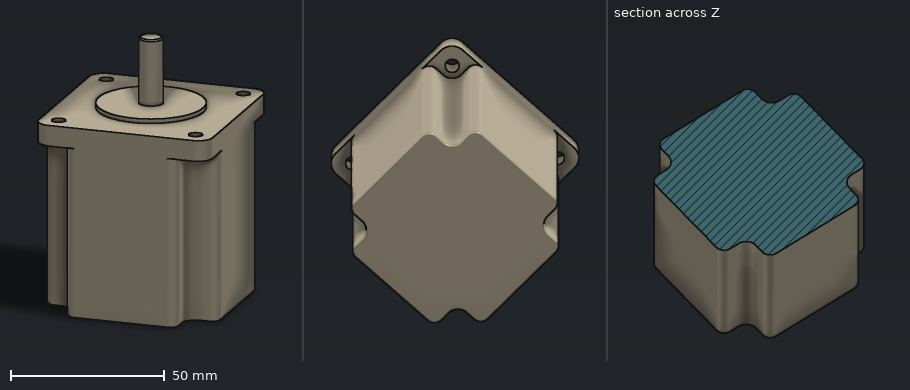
import cadquery as cq

width = 60.0
total_height = 89.0
flange_top = 65.0

flange_thickness = 7.0
flange_corner_radius = 5.1
hole_spacing = 47.2
hole_diameter = 4.5

notch_size = 10.7
notch_inner_radius = 4.0
notch_outer_radius = 3.2
bottom_edge_radius = 1.0

boss_diameter = 36.0
boss_height = 1.5
shaft_diameter = 8.0
shaft_chamfer = 0.5
flat_depth = 0.45
flat_length = 20.0


def make_body():
    """Notched square column, rounded around its underside."""
    height = flange_top - flange_thickness
    column = cq.Workplane("XY").rect(width, width).extrude(height)
    notches = (
        cq.Workplane("XY").rect(width, width, forConstruction=True).vertices()
        .rect(2 * notch_size, 2 * notch_size).extrude(height)
        .edges("|Z").fillet(notch_inner_radius)
    )
    column = column.cut(notches)
    for side in (">X", "<X", ">Y", "<Y"):
        column = column.faces(side).edges("|Z").fillet(notch_outer_radius)
    return column.faces("<Z").edges().fillet(bottom_edge_radius)


def make_flange():
    """Rounded square plate with four through holes."""
    return (
        cq.Workplane("XY").workplane(offset=flange_top - flange_thickness)
        .rect(width, width).extrude(flange_thickness)
        .edges("|Z").fillet(flange_corner_radius)
        .faces(">Z").workplane()
        .rect(hole_spacing, hole_spacing, forConstruction=True).vertices()
        .hole(hole_diameter, flange_thickness)
    )


def make_boss():
    return (
        cq.Workplane("XY").workplane(offset=flange_top)
        .circle(boss_diameter / 2).extrude(boss_height)
    )


def make_shaft():
    """Chamfered shaft with a D-flat facing +Y at its free end."""
    radius = shaft_diameter / 2
    shaft = (
        cq.Workplane("XY").workplane(offset=flange_top)
        .circle(radius).extrude(total_height - flange_top)
        .faces(">Z").chamfer(shaft_chamfer)
    )
    flat_cutter = (
        cq.Workplane("XY").workplane(offset=total_height - flat_length)
        .center(0, 2 * radius - flat_depth)
        .rect(shaft_diameter, shaft_diameter).extrude(flat_length)
    )
    return shaft.cut(flat_cutter)


result = make_body().union(make_flange()).union(make_boss()).union(make_shaft())